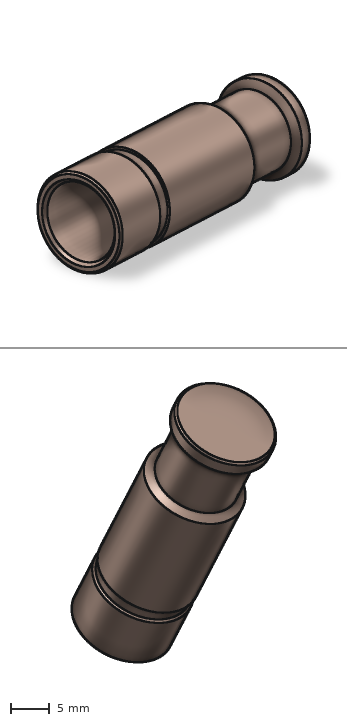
import cadquery as cq
import math

length = 40.0
outer_radius = 7.0
edge_chamfer = 0.3

neck_radius = 5.75
flange_width = 2.0
neck_shoulder = 12.0
taper_angle = math.radians(30)

groove_radius = 6.6
groove_start = 8.2
groove_end = 10.25

bore_radius = 5.5
bore_mouth_radius = 6.0
bore_depth = 24.0
drill_point_angle = math.radians(135)

open_end = -length / 2
closed_end = length / 2
neck_taper = (outer_radius - neck_radius) * math.tan(taper_angle)
groove_taper = (outer_radius - groove_radius) * math.tan(taper_angle)
mouth_chamfer = bore_mouth_radius - bore_radius
drill_point_depth = bore_radius / math.tan(drill_point_angle / 2)


def revolve_profile(points):
    """Spin a closed (radius, y) profile about the Y axis."""
    return cq.Workplane("XY").polyline(points).close().revolve(360, (0, 0, 0), (0, 1, 0))


def make_body():
    """Solid outer shape with chamfered ends, groove, neck and flange."""
    return revolve_profile([
        (0, open_end),
        (outer_radius - edge_chamfer, open_end),
        (outer_radius, open_end + edge_chamfer),
        (outer_radius, open_end + groove_start),
        (groove_radius, open_end + groove_start + groove_taper),
        (groove_radius, open_end + groove_end),
        (outer_radius, open_end + groove_end),
        (outer_radius, closed_end - neck_shoulder),
        (neck_radius, closed_end - neck_shoulder + neck_taper),
        (neck_radius, closed_end - flange_width - neck_taper),
        (outer_radius, closed_end - flange_width),
        (outer_radius, closed_end - edge_chamfer),
        (outer_radius - edge_chamfer, closed_end),
        (0, closed_end),
    ])


def make_bore():
    """Blind bore with a chamfered mouth and a conical bottom."""
    return revolve_profile([
        (0, open_end),
        (bore_mouth_radius, open_end),
        (bore_radius, open_end + mouth_chamfer),
        (bore_radius, open_end + bore_depth),
        (0, open_end + bore_depth + drill_point_depth),
    ])


result = make_body().cut(make_bore())